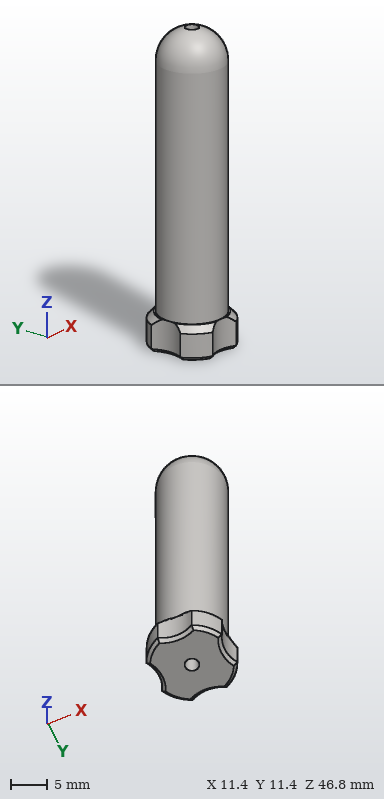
import cadquery as cq
import math

total_height = 46.75
body_diameter = 10.0
hole_diameter = 2.0

head_diameter = 12.5
head_height = 5.0
head_top_chamfer = 1.0
head_bottom_chamfer = 0.5
flute_count = 4

body_radius = body_diameter / 2
flute_radius = body_radius
flute_center_radius = body_radius + flute_radius
dome_rim_height = math.sqrt(body_radius**2 - (hole_diameter / 2) ** 2)
dome_center_z = total_height - dome_rim_height


def make_head():
    """Disc with a chamfered top rim, scalloped sides and a chamfered bottom outline."""
    head = cq.Workplane("XY").circle(head_diameter / 2).extrude(head_height)
    head = head.faces(">Z").edges().chamfer(head_top_chamfer)
    flutes = (
        cq.Workplane("XY")
        .polarArray(flute_center_radius, 0, 360, flute_count)
        .circle(flute_radius)
        .extrude(head_height)
    )
    return head.cut(flutes).faces("<Z").edges().chamfer(head_bottom_chamfer)


def make_body():
    """Round shank that ends in a hemisphere of the same radius."""
    shank = cq.Workplane("XY").circle(body_radius).extrude(dome_center_z - head_height)
    shank = shank.translate((0, 0, head_height))
    dome = cq.Workplane("XY").sphere(body_radius, angle1=0).translate((0, 0, dome_center_z))
    return shank.union(dome)


def make_hole():
    """Straight bore along the axis, from the bottom face out through the dome."""
    dome_tip_height = dome_center_z + body_radius
    return cq.Workplane("XY").circle(hole_diameter / 2).extrude(dome_tip_height)


result = make_head().union(make_body()).cut(make_hole())